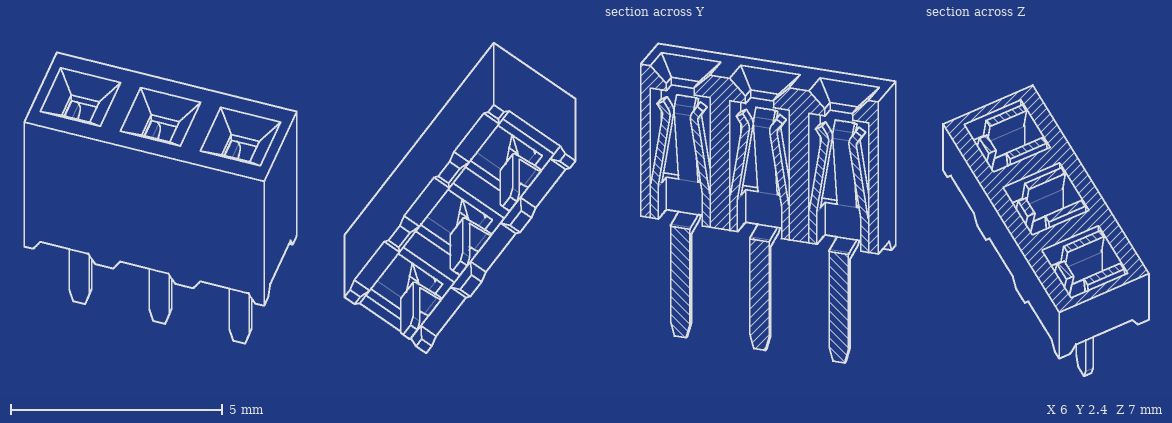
import cadquery as cq
import math


positions = 3
pitch = 2.0
position_xs = [(i - (positions - 1) / 2) * pitch for i in range(positions)]

housing_length = positions * pitch
housing_width = 2.4
housing_height = 4.3

groove_depth = 0.3
cross_groove_width = 1.2
cross_groove_flank = 0.172
long_groove_width = 1.5
long_groove_flank = 0.15

funnel_mouth = 1.5
throat_size = 0.7
funnel_depth = (funnel_mouth - throat_size) / 2
throat_length = 0.2
cavity_size = 1.5
cavity_top = housing_height - funnel_depth - throat_length

sheet = 0.2
base_half = cavity_size / 2
base_bottom = groove_depth

beam_root = base_half - sheet
nip_distance = 0.25
nip_radius = 0.3
nip_z = 3.075
lean_angle = math.radians(9)
flare_distance = 0.42
flare_angle = math.radians(32.5)
beam_width = 0.49
side_beam_near = -beam_width / 2
side_beam_far = 0.73

nip_centre_distance = nip_distance + nip_radius
lean_foot_distance = nip_centre_distance - nip_radius * math.cos(lean_angle)
lean_foot_z = nip_z - nip_radius * math.sin(lean_angle)
base_top = lean_foot_z - (beam_root - lean_foot_distance) / math.tan(lean_angle)

pin_width = 0.5
pin_tip_width = 0.3
pin_taper_length = 0.37
pin_bottom = -2.7
arm_angle = math.radians(12)


def groove(opening, flank, length):
    """Trapezoidal groove along Y, centred on the origin and widening down to Z = 0."""
    top = opening / 2
    bottom = top + flank
    return (
        cq.Workplane("XZ")
        .polyline([(-top, groove_depth), (top, groove_depth), (bottom, 0), (-bottom, 0)])
        .close()
        .extrude(length / 2, both=True)
    )


def socket_opening():
    """Entry funnel, square throat and the wider contact cavity, on the Z axis."""
    funnel = (
        cq.Workplane("XY", origin=(0, 0, housing_height))
        .rect(funnel_mouth, funnel_mouth)
        .workplane(offset=-funnel_depth)
        .rect(throat_size, throat_size)
        .loft(ruled=True)
    )
    throat = (
        cq.Workplane("XY", origin=(0, 0, cavity_top))
        .rect(throat_size, throat_size)
        .extrude(throat_length)
    )
    cavity = cq.Workplane("XY").rect(cavity_size, cavity_size).extrude(cavity_top)
    return funnel.union(throat).union(cavity)


def make_housing():
    body = cq.Workplane("XY").box(
        housing_length, housing_width, housing_height, centered=(True, True, False)
    )
    long_groove = groove(long_groove_width, long_groove_flank, housing_length)
    body = body.cut(long_groove.rotate((0, 0, 0), (0, 0, 1), 90))
    cross_groove = groove(cross_groove_width, cross_groove_flank, housing_width)
    opening = socket_opening()
    for x in position_xs:
        body = body.cut(cross_groove.translate((x, 0, 0)))
        body = body.cut(opening.translate((x, 0, 0)))
    return body


def on_arc(centre, radius, angle):
    return (centre[0] + radius * math.cos(angle), centre[1] + radius * math.sin(angle))


def beam_profile(start_y):
    """Spring beam section in XZ: it leans in to a rounded nip at -X, then flares out again."""
    centre = (nip_centre_distance, nip_z)
    back_radius = nip_radius - sheet
    lean = math.pi + lean_angle
    flare = math.pi - flare_angle
    middle = (lean + flare) / 2
    flare_start = on_arc(centre, nip_radius, flare)
    flare_rise = (flare_distance - flare_start[0]) / math.tan(flare_angle)
    flare_tip = (flare_distance, flare_start[1] + flare_rise)
    return (
        cq.Workplane("XZ", origin=(0, start_y, 0))
        .moveTo(beam_root, base_bottom)
        .lineTo(beam_root, base_top)
        .lineTo(*on_arc(centre, nip_radius, lean))
        .threePointArc(on_arc(centre, nip_radius, middle), flare_start)
        .lineTo(*flare_tip)
        .lineTo(*on_arc(flare_tip, -sheet, flare))
        .lineTo(*on_arc(centre, back_radius, flare))
        .threePointArc(on_arc(centre, back_radius, middle), on_arc(centre, back_radius, lean))
        .lineTo(base_half, base_top + sheet * math.tan(lean_angle / 2))
        .lineTo(base_half, base_bottom)
        .close()
    )


def make_beams():
    """One beam on the front wall of the base and one on each side wall."""
    front = beam_profile(0).extrude(beam_width / 2, both=True)
    front = front.rotate((0, 0, 0), (0, 0, 1), -90)
    right = beam_profile(side_beam_far).extrude(side_beam_far - side_beam_near)
    return front.union(right).union(right.mirror("YZ"))


def make_base():
    """Three-sided channel, open at the back, that lines the bottom of the cavity."""
    size = 2 * base_half
    height = base_top - base_bottom
    channel = cq.Workplane("XY", origin=(0, 0, base_bottom)).rect(size, size).extrude(height)
    hollow = (
        cq.Workplane("XY", origin=(0, sheet, base_bottom))
        .rect(size - 2 * sheet, size)
        .extrude(height)
    )
    return channel.cut(hollow)


def make_pin():
    """Tapered pin, sloping arm and upper bend, up to the top of the base's front wall."""
    pin_front = -sheet / 2
    pin_back = sheet / 2
    wall_inner = -base_half + sheet
    lower_corner = (pin_front, 0)
    lower_arc_end = math.pi / 2 - arm_angle
    upper_corner_z = sheet / math.cos(arm_angle) + (pin_front - wall_inner) * math.tan(arm_angle)
    upper_corner = (wall_inner, upper_corner_z)
    upper_arc_end = -math.pi / 2 - arm_angle
    upper_arc_middle = (upper_arc_end - math.pi) / 2
    profile = (
        cq.Workplane("YZ")
        .moveTo(pin_back, pin_bottom)
        .lineTo(pin_back, 0)
        .threePointArc(
            on_arc(lower_corner, sheet, lower_arc_end / 2),
            on_arc(lower_corner, sheet, lower_arc_end),
        )
        .lineTo(*upper_corner)
        .lineTo(wall_inner, base_top)
        .lineTo(-base_half, base_top)
        .lineTo(-base_half, upper_corner_z)
        .threePointArc(
            on_arc(upper_corner, sheet, upper_arc_middle),
            on_arc(upper_corner, sheet, upper_arc_end),
        )
        .lineTo(*lower_corner)
        .lineTo(pin_front, pin_bottom)
        .close()
        .extrude(pin_width / 2, both=True)
    )
    taper_top = pin_bottom + pin_taper_length
    silhouette = (
        cq.Workplane("XZ")
        .polyline([
            (-pin_tip_width / 2, pin_bottom),
            (pin_tip_width / 2, pin_bottom),
            (pin_width / 2, taper_top),
            (pin_width / 2, base_top),
            (-pin_width / 2, base_top),
            (-pin_width / 2, taper_top),
        ])
        .close()
        .extrude(housing_width, both=True)
    )
    return profile.intersect(silhouette)


def make_contact():
    return make_base().union(make_beams()).union(make_pin())


housing = make_housing()
contact = make_contact()
contacts = [contact.translate((x, 0, 0)) for x in position_xs]

result = cq.Compound.makeCompound([housing.val(), *[placed.val() for placed in contacts]])